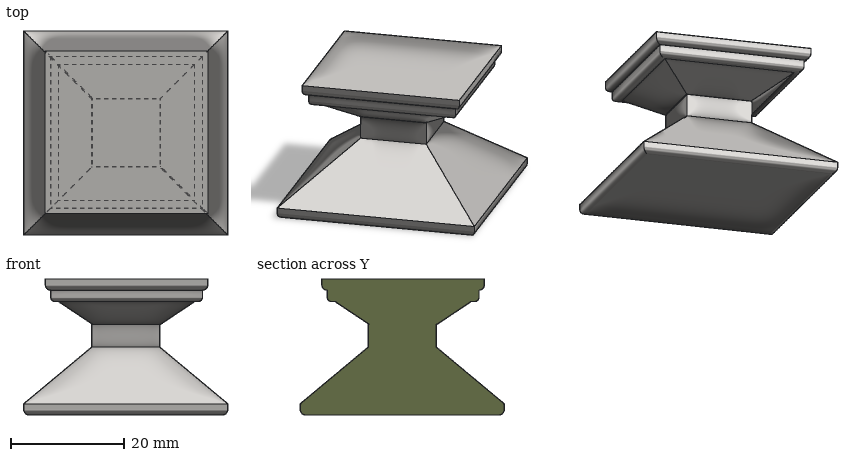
import cadquery as cq

base_width = 36.0
base_height = 2.0
base_fillet = 1.0
neck_width = 12.0
foot_height = 10.0
neck_height = 4.0

head_offset_x = 0.15
head_offset_y = 0.12
corbel_top_width = 24.0
corbel_height = 4.0
lower_plate_width = 26.8
lower_plate_height = 2.0
lower_plate_fillet = 0.8
top_plate_width = 28.7
top_plate_height = 2.0
top_plate_fillet = 1.0

foot_bottom = base_height
neck_bottom = foot_bottom + foot_height
corbel_bottom = neck_bottom + neck_height
lower_plate_bottom = corbel_bottom + corbel_height
top_plate_bottom = lower_plate_bottom + lower_plate_height

pedestal_axis = (0.0, 0.0)
head_axis = (head_offset_x, head_offset_y)


def plane_at(axis, level):
    """Horizontal workplane centred on the given vertical axis."""
    return cq.Workplane("XY", origin=(*axis, level))


def square_block(axis, level, width, height):
    """Upright square block standing on the given level."""
    return plane_at(axis, level).rect(width, width).extrude(height)


def rounded_plate(axis, level, width, height, fillet):
    """Square plate with its four bottom edges rounded."""
    return square_block(axis, level, width, height).faces("<Z").edges().fillet(fillet)


def square_frustum(axis, level, bottom_width, top_width, height):
    """Four-sided taper between two square sections."""
    bottom = plane_at(axis, level).rect(bottom_width, bottom_width)
    return bottom.workplane(offset=height).rect(top_width, top_width).loft(ruled=True)


def make_pedestal():
    base = rounded_plate(pedestal_axis, 0.0, base_width, base_height, base_fillet)
    foot = square_frustum(pedestal_axis, foot_bottom, base_width, neck_width, foot_height)
    neck = square_block(pedestal_axis, neck_bottom, neck_width, neck_height)
    return base.union(foot).union(neck)


def make_head():
    corbel = square_frustum(head_axis, corbel_bottom, neck_width, corbel_top_width, corbel_height)
    lower_plate = rounded_plate(
        head_axis, lower_plate_bottom, lower_plate_width, lower_plate_height, lower_plate_fillet
    )
    top_plate = rounded_plate(
        head_axis, top_plate_bottom, top_plate_width, top_plate_height, top_plate_fillet
    )
    return corbel.union(lower_plate).union(top_plate)


result = make_pedestal().union(make_head())